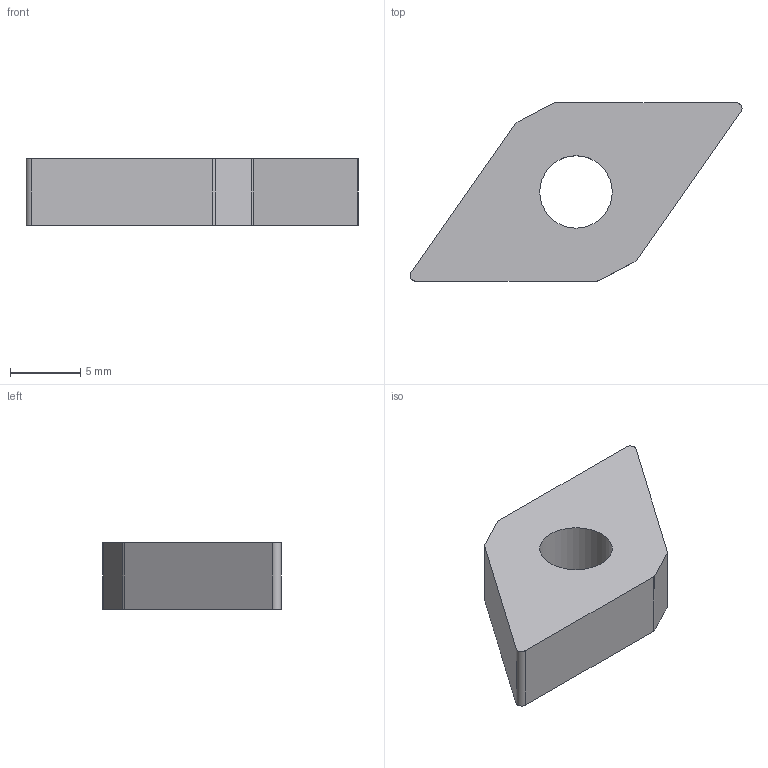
import cadquery as cq
import math

inscribed_diameter = 12.7
thickness = 4.76
point_angle = 55.0
hole_diameter = 5.16
nose_radius = 0.397
cut_corner_setback = 1.74
cut_corner_radius = 0.45

half_height = inscribed_diameter / 2
half_point_angle = math.radians(point_angle / 2)
side_length = inscribed_diameter / math.sin(math.radians(point_angle))
acute_x = half_height / math.tan(half_point_angle)
obtuse_x = side_length - acute_x


def rhombus_body():
    """Sharp-cornered rhombic plate with two sides parallel to X."""
    corners = [
        (-acute_x, -half_height),
        (obtuse_x, -half_height),
        (acute_x, half_height),
        (-obtuse_x, half_height),
    ]
    return cq.Workplane("XY").polyline(corners).close().extrude(thickness)


def upright_edge_at(x, y):
    """Selector for the vertical edge standing at (x, y)."""
    return cq.selectors.NearestToPointSelector((x, y, thickness / 2))


def cut_obtuse_corners(body):
    """Flatten both obtuse corners symmetrically."""
    for side in (1, -1):
        corner = upright_edge_at(side * obtuse_x, -side * half_height)
        body = body.edges("|Z").edges(corner).chamfer(cut_corner_setback)
    return body


def round_corners(body):
    """Round the two acute noses and the four edges of the corner flats."""
    slant = math.radians(point_angle)
    for side in (1, -1):
        nose = upright_edge_at(-side * acute_x, -side * half_height)
        body = body.edges("|Z").edges(nose).fillet(nose_radius)
        flat_ends = [
            (obtuse_x - cut_corner_setback, -half_height),
            (
                obtuse_x + cut_corner_setback * math.cos(slant),
                -half_height + cut_corner_setback * math.sin(slant),
            ),
        ]
        for x, y in flat_ends:
            end = upright_edge_at(side * x, side * y)
            body = body.edges("|Z").edges(end).fillet(cut_corner_radius)
    return body


def drill_hole(body):
    """Central through hole."""
    return body.faces(">Z").workplane(origin=(0, 0, thickness)).hole(hole_diameter)


result = drill_hole(round_corners(cut_obtuse_corners(rhombus_body())))